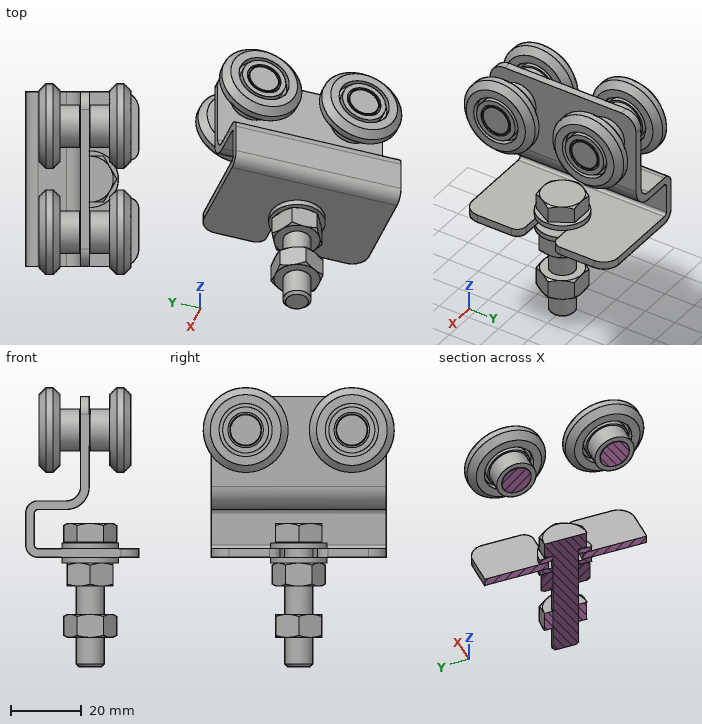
import cadquery as cq
import math


sheet = 2.5
bracket_length = 49.5
bracket_depth = 32.0
bracket_back = -16.75
web_top = 9.5
shelf_top = -20.0
box_height = 16.0
inner_bend = 1.0
outer_bend = inner_bend + sheet
web_bend = 4.0
web_outer_bend = web_bend + sheet
plate_corner = 5.0
slot_width = 10.5
slot_mouth_radius = 3.0
pick_margin = 0.1

half_sheet = sheet / 2
bracket_front = bracket_back + bracket_depth
bracket_bottom = shelf_top - box_height
shelf_bottom = shelf_top - sheet
flange_top = bracket_bottom + sheet

roller_pitch = 30.0
wheel_radius = 12.0
wheel_bevel = 2.0
wheel_width = 6.0
wheel_outer_x = 13.0
wheel_inner_x = wheel_outer_x - wheel_width
wheel_face_radius = wheel_radius - wheel_bevel
hub_radius = 6.0
hub_gap = 0.25
pin_radius = 4.5
pin_bevel = 0.2
seal_groove_inner = 6.5
seal_groove_outer = 7.5
seal_groove_depth = 2.0
pin_groove_outer = 5.0
pin_groove_depth = 0.5

bolt_from_back = 18.25
bolt_diameter = 8.0
bolt_length = 35.0
bolt_tip_bevel = 0.8
hex_width = 13.0
hex_bevel_angle = 30.0
head_height = 5.5
head_collar_height = 0.2
head_collar_radius = 5.8
nut_height = 6.5
washer_diameter = 16.0
washer_thickness = 1.6
lock_nut_z = -58.6
corner_along_x = 0.0
corner_along_y = 90.0

bolt_x = bracket_back + bolt_from_back
bolt_radius = bolt_diameter / 2
hex_face_radius = hex_width / 2
hex_corner_radius = hex_face_radius / math.cos(math.pi / 6)
upper_washer_z = flange_top
head_seat_z = upper_washer_z + washer_thickness
lower_washer_z = bracket_bottom - washer_thickness
clamp_nut_z = lower_washer_z - nut_height


def cylinder(radius, height, z):
    """Upright cylinder on the bolt axis, with its lower end at z."""
    return cq.Workplane("XY", origin=(bolt_x, 0, z)).circle(radius).extrude(height)


def make_slot():
    """Slot in the bottom flange, rounded around the bolt and open at the front edge."""
    slot_reach = bracket_front - bolt_x
    channel = (
        cq.Workplane("XY", origin=(bolt_x + slot_reach / 2, 0, bracket_bottom))
        .rect(slot_reach, slot_width)
        .extrude(sheet)
    )
    return channel.union(cylinder(slot_width / 2, sheet, bracket_bottom))


def make_bracket():
    """Web, shelf, back wall and bottom flange bent from one sheet."""
    sharp = (
        cq.Workplane("XZ")
        .moveTo(-half_sheet, web_top)
        .lineTo(-half_sheet, shelf_top)
        .lineTo(bracket_back, shelf_top)
        .lineTo(bracket_back, bracket_bottom)
        .lineTo(bracket_front, bracket_bottom)
        .lineTo(bracket_front, flange_top)
        .lineTo(bracket_back + sheet, flange_top)
        .lineTo(bracket_back + sheet, shelf_bottom)
        .lineTo(half_sheet, shelf_bottom)
        .lineTo(half_sheet, web_top)
        .close()
        .extrude(bracket_length / 2, both=True)
    )

    def bend(body, x, z, radius):
        spot = cq.selectors.BoxSelector(
            (x - pick_margin, -pick_margin, z - pick_margin),
            (x + pick_margin, pick_margin, z + pick_margin),
        )
        return body.edges("|Y").edges(spot).fillet(radius)

    body = bend(sharp, -half_sheet, shelf_top, web_bend)
    body = bend(body, half_sheet, shelf_bottom, web_outer_bend)
    for z in (shelf_top, bracket_bottom):
        body = bend(body, bracket_back, z, outer_bend)
    for z in (shelf_bottom, flange_top):
        body = bend(body, bracket_back + sheet, z, inner_bend)

    body = body.faces(">Z").edges("|X").fillet(plate_corner)
    body = body.faces(">X").edges("|Z").fillet(plate_corner)
    body = body.cut(make_slot())
    mouth = cq.selectors.BoxSelector(
        (bracket_front - pick_margin, -slot_width, bracket_bottom),
        (bracket_front + pick_margin, slot_width, flange_top),
    )
    return body.edges("|Z").edges(mouth).fillet(slot_mouth_radius)


def make_roller(side, y):
    """Wheel, hub and pin revolved as one; side is +1 or -1 along X."""
    profile = [
        (half_sheet, 0),
        (half_sheet, pin_radius),
        (half_sheet + hub_gap, pin_radius),
        (half_sheet + hub_gap, hub_radius),
        (wheel_inner_x, hub_radius),
        (wheel_inner_x, seal_groove_inner),
        (wheel_inner_x + seal_groove_depth, seal_groove_inner),
        (wheel_inner_x + seal_groove_depth, seal_groove_outer),
        (wheel_inner_x, seal_groove_outer),
        (wheel_inner_x, wheel_face_radius),
        (wheel_inner_x + wheel_bevel, wheel_radius),
        (wheel_outer_x - wheel_bevel, wheel_radius),
        (wheel_outer_x, wheel_face_radius),
        (wheel_outer_x, seal_groove_outer),
        (wheel_outer_x - seal_groove_depth, seal_groove_outer),
        (wheel_outer_x - seal_groove_depth, seal_groove_inner),
        (wheel_outer_x, seal_groove_inner),
        (wheel_outer_x, pin_groove_outer),
        (wheel_outer_x - pin_groove_depth, pin_groove_outer),
        (wheel_outer_x - pin_groove_depth, pin_radius),
        (wheel_outer_x - pin_bevel, pin_radius),
        (wheel_outer_x, pin_radius - pin_bevel),
        (wheel_outer_x, 0),
    ]
    placed = [(side * x, radius) for x, radius in profile]
    roller = cq.Workplane("XZ").polyline(placed).close().revolve(360, (0, 0, 0), (1, 0, 0))
    return roller.translate((0, y, 0))


def make_hexagon(height, z, turn, bevel_bottom):
    """Hexagonal prism on the bolt axis; a cone bevels the top corners and, if asked, the bottom ones."""
    prism = (
        cq.Workplane("XY")
        .polygon(6, 2 * hex_corner_radius)
        .extrude(height)
        .rotate((0, 0, 0), (0, 0, 1), turn)
    )
    bevel_drop = (hex_corner_radius - hex_face_radius) * math.tan(math.radians(hex_bevel_angle))
    envelope = cq.Workplane("XZ").lineTo(0, height).lineTo(hex_face_radius, height)
    envelope = envelope.lineTo(hex_corner_radius, height - bevel_drop)
    if bevel_bottom:
        envelope = envelope.lineTo(hex_corner_radius, bevel_drop).lineTo(hex_face_radius, 0)
    else:
        envelope = envelope.lineTo(hex_corner_radius, 0)
    cone = envelope.close().revolve(360, (0, 0, 0), (0, 1, 0))
    return prism.intersect(cone).translate((bolt_x, 0, z))


def make_bolt():
    """Hexagon-head bolt with a thin collar under the head and a bevelled tip."""
    tip_z = head_seat_z - bolt_length
    shank = cylinder(bolt_radius, bolt_length, tip_z).faces("<Z").chamfer(bolt_tip_bevel)
    collar = cylinder(head_collar_radius, head_collar_height, head_seat_z)
    hexagon_height = head_height - head_collar_height
    hexagon_z = head_seat_z + head_collar_height
    hexagon = make_hexagon(hexagon_height, hexagon_z, corner_along_x, bevel_bottom=False)
    return shank.union(collar).union(hexagon)


def make_washer(z):
    """Flat washer with its lower face at z."""
    disc = cylinder(washer_diameter / 2, washer_thickness, z)
    return disc.cut(cylinder(bolt_radius, washer_thickness, z))


def make_nut(z, turn):
    """Hexagon nut with its lower face at z."""
    hexagon = make_hexagon(nut_height, z, turn, bevel_bottom=True)
    return hexagon.cut(cylinder(bolt_radius, nut_height, z))


bracket = make_bracket()
rollers = [
    make_roller(side, y)
    for side in (-1, 1)
    for y in (-roller_pitch / 2, roller_pitch / 2)
]
bolt = make_bolt()
washers = [make_washer(z) for z in (upper_washer_z, lower_washer_z)]
clamp_nut = make_nut(clamp_nut_z, corner_along_y)
lock_nut = make_nut(lock_nut_z, corner_along_x)

bodies = [bracket, *rollers, bolt, *washers, clamp_nut, lock_nut]
result = cq.Compound.makeCompound([body.solids().val() for body in bodies])